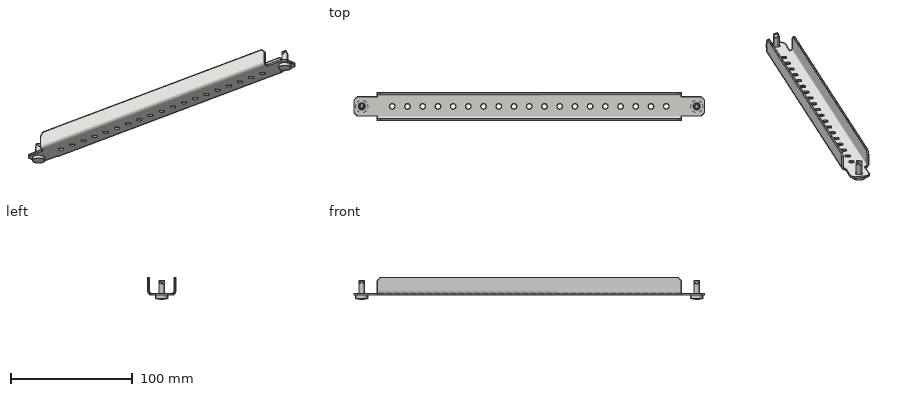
import cadquery as cq
import math

LENGTH = 288.0
WIDTH = 23.0
THICKNESS = 1.5
FLANGE_HEIGHT = 14.7
FLANGE_LENGTH = 250.0
BEND_OUTER_RADIUS = 3.5
BEND_INNER_RADIUS = BEND_OUTER_RADIUS - THICKNESS
WEB_WIDTH = WIDTH - 2 * BEND_OUTER_RADIUS
WEB_CHAMFER = 3.0
FLANGE_CHAMFER = 3.0

HOLE_COUNT = 19
HOLE_SPAN = 225.0
HOLE_PITCH = HOLE_SPAN / (HOLE_COUNT - 1)
HOLE_DIAMETER = 4.3

SCREW_SPACING = 275.0
SHANK_RADIUS = 2.45
SHANK_TOP = 12.0
SCREW_HOLE_DIAMETER = 5.8
HEAD_RADIUS = 5.05
HEAD_RIM_HEIGHT = 2.5
HEAD_HEIGHT = 3.5

FACET_COUNT = 3
FACET_TILT = 23
FACET_DEPTH = 3.0
FACET_TOP_INSET = FACET_DEPTH * math.tan(math.radians(FACET_TILT))

SCREW_PLACEMENTS = [(-SCREW_SPACING / 2, 90), (SCREW_SPACING / 2, 270)]


def make_web():
    return (
        cq.Workplane("XY")
        .box(LENGTH, WEB_WIDTH, THICKNESS, centered=(True, True, False))
        .edges("|Z")
        .chamfer(WEB_CHAMFER)
    )


def make_trough():
    """The bent U section that carries both flanges."""
    outside = (
        cq.Workplane("XY")
        .box(FLANGE_LENGTH, WIDTH, FLANGE_HEIGHT, centered=(True, True, False))
        .edges("|X and <Z")
        .fillet(BEND_OUTER_RADIUS)
    )
    inside = (
        cq.Workplane("XY", origin=(0, 0, THICKNESS))
        .box(FLANGE_LENGTH, WIDTH - 2 * THICKNESS, FLANGE_HEIGHT, centered=(True, True, False))
        .edges("|X and <Z")
        .fillet(BEND_INNER_RADIUS)
    )
    return outside.cut(inside).edges("|Y and >Z").chamfer(FLANGE_CHAMFER)


def make_channel():
    row_of_holes = (
        cq.Workplane("XY")
        .rarray(HOLE_PITCH, 3, HOLE_COUNT, 1)
        .circle(HOLE_DIAMETER / 2)
        .extrude(THICKNESS)
    )
    screw_holes = (
        cq.Workplane("XY")
        .rarray(SCREW_SPACING, 3, 2, 1)
        .circle(SCREW_HOLE_DIAMETER / 2)
        .extrude(THICKNESS)
    )
    return make_web().union(make_trough()).cut(row_of_holes).cut(screw_holes)


def make_screw_head():
    """A round head with a straight rim and a shallow domed underside."""
    rim = cq.Workplane("XY").circle(HEAD_RADIUS).extrude(-HEAD_RIM_HEIGHT)
    dome_rise = HEAD_HEIGHT - HEAD_RIM_HEIGHT
    dome_radius = (HEAD_RADIUS**2 + dome_rise**2) / (2 * dome_rise)
    dome_middle_x = HEAD_RADIUS / 2
    dome_middle_z = dome_radius - HEAD_HEIGHT - math.sqrt(dome_radius**2 - dome_middle_x**2)
    dome = (
        cq.Workplane("XZ")
        .moveTo(0, -HEAD_RIM_HEIGHT)
        .lineTo(HEAD_RADIUS, -HEAD_RIM_HEIGHT)
        .threePointArc((dome_middle_x, dome_middle_z), (0, -HEAD_HEIGHT))
        .close()
        .revolve(360, (0, 0, 0), (0, 1, 0))
    )
    return rim.union(dome)


def make_facet_cutter():
    """A wedge that cuts one sloping facet, facing +X, on the end of the shank."""
    return (
        cq.Workplane("XZ")
        .moveTo(SHANK_RADIUS, SHANK_TOP - FACET_DEPTH)
        .lineTo(SHANK_RADIUS, SHANK_TOP)
        .lineTo(SHANK_RADIUS - FACET_TOP_INSET, SHANK_TOP)
        .close()
        .extrude(SHANK_RADIUS, both=True)
    )


def make_screw(x, first_facet_angle):
    screw = make_screw_head().union(cq.Workplane("XY").circle(SHANK_RADIUS).extrude(SHANK_TOP))
    for i in range(FACET_COUNT):
        angle = first_facet_angle + i * 360 / FACET_COUNT
        screw = screw.cut(make_facet_cutter().rotate((0, 0, 0), (0, 0, 1), angle))
    return screw.translate((x, 0, 0))


channel = make_channel()
screws = [make_screw(x, angle) for x, angle in SCREW_PLACEMENTS]

result = cq.Compound.makeCompound([channel.val(), *[screw.val() for screw in screws]])